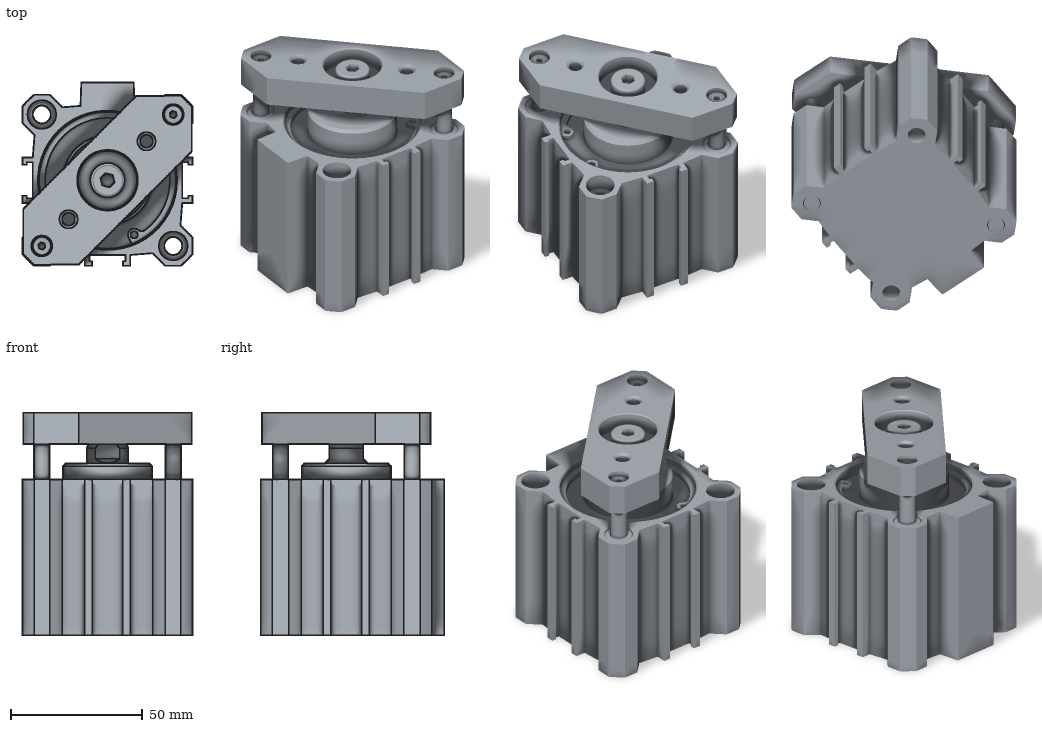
import cadquery as cq
import math

total_height = 85.0
housing_height = 59.5
plate_thickness = 12.0
plate_bottom = total_height - plate_thickness

half_width = 65.0 / 2
half_depth = 32.6
corner_radius = 43.0
lug_offset = 10.6
wall_at_slot = 28.6
wall_at_lug = 27.9
port_width = 20.1
port_root_width = 20.7
total_depth = 70.0
port_top = total_depth - half_depth
port_edge_radius = 0.3

rib_outer = 8.75
rib_web_inner = 6.8
rib_lip_inner = 5.9
rib_lip_thickness = 1.8

bore_diameter = 52.2
bore_chamfer = 0.5

corner_offset = 25.1
mount_diameter = 6.8
mount_bore_diameter = 11.0
mount_bore_depth = 6.8
guide_hole_diameter = 6.8
guide_groove_depth = 0.6

ring_depth = 3.0
ring_thickness = 2.0
ring_inner_radius = 23.8
flange_top = housing_height - ring_depth - ring_thickness
flange_thickness = 10.2
cover_bottom = flange_top - flange_thickness
boss_diameter = 34.2
boss_top = 65.6
boss_chamfer = 1.1
boss_fillet = 0.6
eye_x = 10.2
eye_y = -20.8
eye_radius = 2.4
eye_hole_diameter = 2.7
eye_blend_radius = 2.1

rod_diameter = 16.0
rod_chamfer_height = 1.6
rod_chamfer_width = 0.7
flat_distance = 13.0
flat_bottom = 67.3

plate_half_side = 32.2
plate_width = 30.0
plate_length = 85.3
plate_turn = 45.0
pocket_diameter = 22.35
pocket_rim_diameter = 23.2
pocket_depth = 6.7
tapped_diameter = 4.9
tapped_rim_diameter = 7.0
tapped_offset = 14.9

guide_rod_diameter = 6.0
guide_rod_chamfer = 0.25

center_screw = dict(
    shank=8.0, head=13.1, head_height=5.0, head_rounding=0.85, socket=4.85, socket_depth=3.8,
    reach=16.0, clearance=8.6,
)
guide_screw = dict(
    shank=4.0, head=7.0, head_height=2.8, head_rounding=0.2, socket=2.5, socket_depth=2.2,
    reach=12.0, clearance=4.5,
)
guide_counterbore = 8.0
guide_counterbore_depth = 4.6
drill_point_angle = 120.0

center_seat = total_height - pocket_depth
guide_seat = total_height - guide_counterbore_depth

guide_places = [(corner_offset, corner_offset), (-corner_offset, -corner_offset)]
mount_places = [(-corner_offset, corner_offset), (corner_offset, -corner_offset)]


def cylinder(diameter, bottom, top, places=((0, 0),)):
    """Upright cylinders of one diameter between two heights."""
    disc = cq.Workplane("XY").workplane(offset=bottom).pushPoints(list(places))
    return disc.circle(diameter / 2).extrude(top - bottom)


def cone(bottom_diameter, top_diameter, bottom, top, place=(0, 0)):
    """Upright truncated cone between two heights."""
    solid = cq.Solid.makeCone(bottom_diameter / 2, top_diameter / 2, top - bottom)
    return cq.Workplane(solid.translate(cq.Vector(place[0], place[1], bottom)))


def rib_pair(reach):
    """The two hooked ribs of one T-slot, on the -Y side, reaching out to a given distance."""
    lip_back = reach - rib_lip_thickness
    outline = [
        (rib_outer, -wall_at_lug),
        (rib_outer, -reach),
        (rib_lip_inner, -reach),
        (rib_lip_inner, -lip_back),
        (rib_web_inner, -lip_back),
        (rib_web_inner, -wall_at_lug),
    ]
    rib = cq.Workplane("XY").polyline(outline).close().extrude(housing_height)
    return rib.union(rib.mirror("YZ"))


def housing_core():
    """Profile with four corner lugs and slightly drawn-in walls, without ribs and port."""
    quarter = [
        (0, 0),
        (wall_at_slot, 0),
        (wall_at_slot, rib_outer),
        (wall_at_lug, wall_at_lug - lug_offset),
        (half_width, half_width - lug_offset),
        (half_width, half_depth),
        (half_depth - lug_offset, half_depth),
        (wall_at_lug - lug_offset, wall_at_lug),
        (rib_outer, wall_at_slot),
        (0, wall_at_slot),
    ]
    corner = cq.Workplane("XY").polyline(quarter).close().extrude(housing_height)
    half = corner.union(corner.mirror("YZ"))
    core = half.union(half.mirror("XZ"))
    return core.intersect(cylinder(2 * corner_radius, 0, housing_height))


def make_housing():
    body = housing_core()
    for angle, reach in ((-90, half_width), (0, half_depth), (90, half_width)):
        body = body.union(rib_pair(reach).rotate((0, 0, 0), (0, 0, 1), angle))

    port_outline = [
        (-port_root_width / 2, wall_at_lug),
        (port_root_width / 2, wall_at_lug),
        (port_width / 2, port_top),
        (-port_width / 2, port_top),
    ]
    port = cq.Workplane("XY").polyline(port_outline).close().extrude(housing_height)
    body = body.union(port.edges("|Z and >Y").fillet(port_edge_radius))

    bore_rim = bore_diameter + 2 * bore_chamfer
    body = body.cut(cylinder(bore_diameter, cover_bottom, housing_height))
    body = body.cut(cone(bore_diameter, bore_rim, housing_height - bore_chamfer, housing_height))

    body = body.cut(cylinder(mount_diameter, 0, housing_height, mount_places))
    mount_floor = housing_height - mount_bore_depth
    body = body.cut(cylinder(mount_bore_diameter, mount_floor, housing_height, mount_places))

    body = body.cut(cylinder(guide_hole_diameter, 0, housing_height, guide_places))
    for place in guide_places:
        body = body.cut(guide_groove(place))
    return body


def guide_groove(place):
    """V-groove around a guide rod: straight outer wall, inner wall sloping up to the top face."""
    floor = housing_height - guide_groove_depth
    land_diameter = mount_bore_diameter - 2 * guide_groove_depth
    groove = cylinder(mount_bore_diameter, floor, housing_height, [place])
    return groove.cut(cone(mount_bore_diameter, land_diameter, floor, housing_height, place))


def retaining_ring():
    """Ring open towards -Y, with a drilled eye at each end."""
    ring_top = flange_top + ring_thickness
    outer_disc = cylinder(bore_diameter, flange_top, ring_top)
    ring = outer_disc.cut(cylinder(2 * ring_inner_radius, flange_top, ring_top))

    gap_outline = [(0, 0), (2 * eye_x, 2 * eye_y), (-2 * eye_x, 2 * eye_y)]
    gap = cq.Workplane("XY").workplane(offset=flange_top).polyline(gap_outline).close()
    ring = ring.cut(gap.extrude(ring_thickness))

    tab_length = bore_diameter / 2
    tab = cq.Workplane("XY").box(2 * eye_radius, tab_length, ring_thickness, centered=(True, False, False))
    tab = tab.mirror("XZ").union(cq.Workplane("XY").circle(eye_radius).extrude(ring_thickness))
    tab_turn = math.degrees(math.atan2(eye_x, -eye_y))
    for side in (-1, 1):
        placed = tab.rotate((0, 0, 0), (0, 0, 1), side * tab_turn)
        placed = placed.translate((side * eye_x, eye_y, flange_top))
        ring = ring.union(placed.intersect(outer_disc))

    ring = ring.edges(eye_corner_box(-1) + eye_corner_box(1)).fillet(eye_blend_radius)
    eyes = [(-eye_x, eye_y), (eye_x, eye_y)]
    return ring.cut(cylinder(eye_hole_diameter, flange_top, ring_top, eyes))


def eye_corner_box(side):
    """Selector of the upright inside corner between an eye and the ring, on one side."""
    eye_distance = math.hypot(eye_x, eye_y)
    along = (eye_distance ** 2 + ring_inner_radius ** 2 - eye_radius ** 2) / (2 * eye_distance)
    angle = math.atan2(eye_x, -eye_y) + math.acos(along / ring_inner_radius)
    x = side * ring_inner_radius * math.sin(angle)
    y = -ring_inner_radius * math.cos(angle)
    half = ring_thickness / 4
    middle = flange_top + ring_thickness / 2
    return cq.selectors.BoxSelector((x - half, y - half, middle - half), (x + half, y + half, middle + half))


def make_cover():
    cover = cylinder(bore_diameter, cover_bottom, flange_top)
    boss = cylinder(boss_diameter, flange_top, boss_top).faces(">Z").edges().chamfer(boss_chamfer)
    around_boss = boss_diameter / 2 + boss_fillet
    boss_foot = cq.selectors.BoxSelector(
        (-around_boss, -around_boss, flange_top - boss_fillet),
        (around_boss, around_boss, flange_top + boss_fillet),
        boundingbox=True,
    )
    cover = cover.union(boss).edges(boss_foot).fillet(boss_fillet)
    cover = cover.union(retaining_ring())
    return cover.cut(cylinder(rod_diameter, cover_bottom, boss_top))


def make_piston_rod():
    rod = cylinder(rod_diameter, cover_bottom, plate_bottom)
    neck_diameter = rod_diameter - 2 * rod_chamfer_width
    rim = cone(rod_diameter, neck_diameter, plate_bottom - rod_chamfer_height, plate_bottom)
    rod = rod.cut(cylinder(rod_diameter, plate_bottom - rod_chamfer_height, plate_bottom)).union(rim)

    flat_y = flat_distance / 2
    flat_outline = [
        (flat_y, plate_bottom),
        (flat_y, flat_bottom),
        (rod_diameter, flat_bottom - (rod_diameter - flat_y)),
        (rod_diameter, plate_bottom),
    ]
    flat = cq.Workplane("YZ").polyline(flat_outline).close().extrude(rod_diameter / 2, both=True)
    rod = rod.cut(flat).cut(flat.mirror("XZ"))
    screw_end = center_seat - center_screw["reach"]
    return rod.cut(cylinder(center_screw["shank"], screw_end, plate_bottom))


def make_plate():
    side = 2 * plate_half_side
    bar = cq.Workplane("XY").box(plate_length, plate_width, plate_thickness, centered=(True, True, False))
    square = cq.Workplane("XY").box(side, side, plate_thickness, centered=(True, True, False))
    plate = bar.rotate((0, 0, 0), (0, 0, 1), plate_turn).intersect(square).translate((0, 0, plate_bottom))

    pocket_chamfer = (pocket_rim_diameter - pocket_diameter) / 2
    plate = plate.cut(cylinder(pocket_diameter, center_seat, total_height))
    plate = plate.cut(
        cone(pocket_diameter, pocket_rim_diameter, total_height - pocket_chamfer, total_height)
    )
    plate = plate.cut(cylinder(center_screw["clearance"], plate_bottom, total_height))

    tapped_chamfer = (tapped_rim_diameter - tapped_diameter) / 2
    for place in [(tapped_offset, tapped_offset), (-tapped_offset, -tapped_offset)]:
        plate = plate.cut(cylinder(tapped_diameter, plate_bottom, total_height, [place]))
        plate = plate.cut(
            cone(tapped_diameter, tapped_rim_diameter, total_height - tapped_chamfer, total_height, place)
        )

    plate = plate.cut(cylinder(guide_screw["clearance"], plate_bottom, total_height, guide_places))
    return plate.cut(cylinder(guide_counterbore, guide_seat, total_height, guide_places))


def make_guide_rod(place):
    rod = cylinder(guide_rod_diameter, 0, plate_bottom, [place])
    rod = rod.faces(">Z").edges().chamfer(guide_rod_chamfer)
    screw_end = guide_seat - guide_screw["reach"]
    return rod.cut(cylinder(guide_screw["shank"], screw_end, plate_bottom, [place]))


def make_cap_screw(size, seat, place):
    """Low-head cap screw with its head resting at the seat height."""
    head_top = seat + size["head_height"]
    screw = cylinder(size["head"], seat, head_top).faces(">Z").edges().fillet(size["head_rounding"])
    screw = screw.union(cylinder(size["shank"], seat - size["reach"], seat))

    across_corners = size["socket"] / math.cos(math.pi / 6)
    tip_height = across_corners / 2 / math.tan(math.radians(drill_point_angle / 2))
    floor = head_top - size["socket_depth"]
    hexagon = cq.Workplane("XY").workplane(offset=floor - tip_height).polygon(6, across_corners)
    socket = hexagon.extrude(head_top - floor + tip_height).rotate((0, 0, 0), (0, 0, 1), plate_turn)
    tip = cq.Workplane(cq.Solid.makeCone(0, across_corners / 2, tip_height))
    tool = cylinder(across_corners, floor, head_top).union(tip.translate((0, 0, floor - tip_height)))
    return screw.cut(socket.intersect(tool)).translate((place[0], place[1], 0))


housing = make_housing()
cover = make_cover()
piston_rod = make_piston_rod()
plate = make_plate()
center_cap_screw = make_cap_screw(center_screw, center_seat, (0, 0))
guide_rods = [make_guide_rod(place) for place in guide_places]
guide_cap_screws = [make_cap_screw(guide_screw, guide_seat, place) for place in guide_places]

result = cq.Compound.makeCompound([
    housing.val(),
    cover.val(),
    piston_rod.val(),
    plate.val(),
    center_cap_screw.val(),
    *[rod.val() for rod in guide_rods],
    *[screw.val() for screw in guide_cap_screws],
])